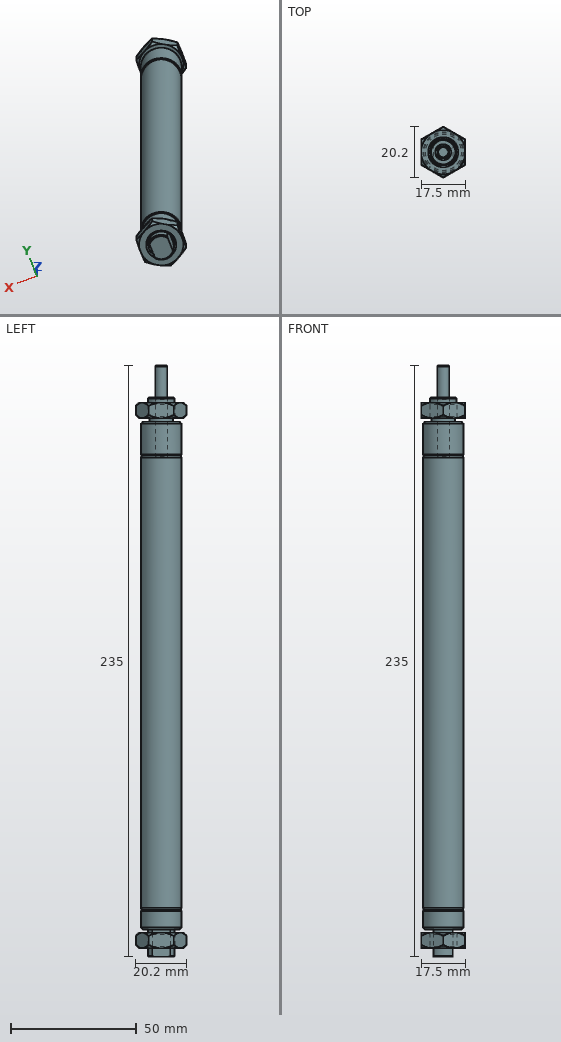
import cadquery as cq

TOTAL_LENGTH = 235.0

NUT_SIDES = 6
NUT_TURN = 180 / NUT_SIDES
NUT_CORNERS = 20.2
NUT_HEIGHT = 6.0
NUT_CHAMFER = 1.32
BORE_CHAMFER = 0.7

TAIL_NUT_BASE = 3.5
BODY_BASE = 10.8
TAIL_CRIMP = 18.8
HEAD_CRIMP = 199.0
BODY_TOP = 212.6
HEAD_NUT_BASE = 214.0
HEAD_STUD_TOP = 222.3

BODY_DIAMETER = 16.2
BODY_CHAMFER = 1.0
CRIMP_WIDTH = 1.5
CRIMP_DEPTH = 0.35

STUD_DIAMETER = 10.5
STUD_CHAMFER = 0.5
NECK_DIAMETER = 9.5
TAIL_FLATS = 7.8

ROD_DIAMETER = 5.0
ROD_CHAMFER = 0.5
ROD_DEPTH = 23.5
COUNTERSINK = 0.7

SMALLEST_RADIUS = cq.selectors.RadiusNthSelector(0)


def bar(diameter, base, top):
    """Round bar on the Z axis between two heights."""
    return cq.Workplane("XY").workplane(offset=base).circle(diameter / 2).extrude(top - base)


def make_crimp_cutter(middle):
    """V-shaped ring that cuts a shallow groove round the body."""
    surface = BODY_DIAMETER / 2
    outer = surface + CRIMP_DEPTH
    profile = [
        (surface - CRIMP_DEPTH, middle),
        (outer, middle - CRIMP_WIDTH),
        (outer, middle + CRIMP_WIDTH),
    ]
    return cq.Workplane("XZ").polyline(profile).close().revolve(360, (0, 0, 0), (0, 1, 0))


def make_tail_stud():
    """Stud below the body, with one flat on each X side."""
    stud = bar(STUD_DIAMETER, 0, BODY_BASE).faces("<Z").chamfer(STUD_CHAMFER)
    flats = cq.Workplane("XY").rect(TAIL_FLATS, STUD_DIAMETER).extrude(BODY_BASE)
    return stud.intersect(flats)


def make_head_stud():
    """Round stud above the body, standing on a narrower neck."""
    neck = bar(NECK_DIAMETER, BODY_TOP, HEAD_NUT_BASE)
    stud = bar(STUD_DIAMETER, HEAD_NUT_BASE, HEAD_STUD_TOP).faces(">Z").chamfer(STUD_CHAMFER)
    return neck.union(stud)


def make_housing():
    """Cylinder body with both studs and the hole for the piston rod."""
    body = bar(BODY_DIAMETER, BODY_BASE, BODY_TOP).faces("<Z or >Z").chamfer(BODY_CHAMFER)
    for middle in (TAIL_CRIMP, HEAD_CRIMP):
        body = body.cut(make_crimp_cutter(middle))
    body = body.union(make_tail_stud()).union(make_head_stud())
    rod_hole = bar(ROD_DIAMETER, HEAD_STUD_TOP - ROD_DEPTH, HEAD_STUD_TOP)
    return body.cut(rod_hole).faces(">Z").edges(SMALLEST_RADIUS).chamfer(COUNTERSINK)


def make_piston_rod():
    """Rod that stands in the head of the housing."""
    rod = bar(ROD_DIAMETER, HEAD_STUD_TOP - ROD_DEPTH, TOTAL_LENGTH)
    return rod.faces(">Z").chamfer(ROD_CHAMFER)


def make_nut(base):
    """Hexagon nut with corners on the Y axis, chamfered outside and at both ends of its bore."""
    top = base + NUT_HEIGHT
    hexagon = (
        cq.Workplane("XY")
        .workplane(offset=base)
        .polygon(NUT_SIDES, NUT_CORNERS)
        .extrude(NUT_HEIGHT)
        .rotate((0, 0, 0), (0, 0, 1), NUT_TURN)
    )
    envelope = bar(NUT_CORNERS, base, top).faces("<Z or >Z").chamfer(NUT_CHAMFER)
    bored = hexagon.intersect(envelope).cut(bar(STUD_DIAMETER, base, top))
    return bored.faces("<Z or >Z").edges(SMALLEST_RADIUS).chamfer(BORE_CHAMFER)


housing = make_housing()
piston_rod = make_piston_rod()
nuts = [make_nut(base) for base in (TAIL_NUT_BASE, HEAD_NUT_BASE)]

result = cq.Compound.makeCompound([housing.val(), piston_rod.val(), *[nut.val() for nut in nuts]])